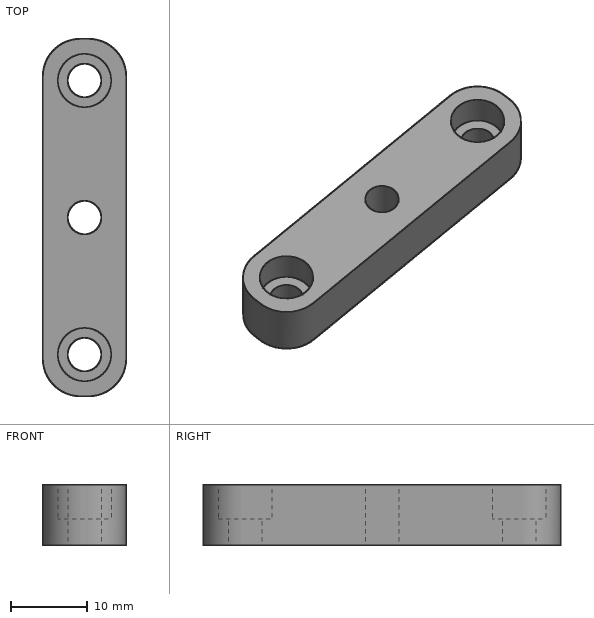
import cadquery as cq

width = 11.0
length = 47.0
height = 8.0
corner_radius = 5.0

hole_diameter = 4.35
hole_spacing = 36.0
counterbore_diameter = 7.0
counterbore_depth = 4.5

end_hole_centers = [(0, -hole_spacing / 2), (0, hole_spacing / 2)]

bar = cq.Workplane("XY").box(width, length, height).edges("|Z").fillet(corner_radius)

bar = bar.faces(">Z").workplane(origin=(0, 0, 0)).hole(hole_diameter)

result = (
    bar.faces(">Z")
    .workplane(origin=(0, 0, 0))
    .pushPoints(end_hole_centers)
    .cboreHole(hole_diameter, counterbore_diameter, counterbore_depth)
)